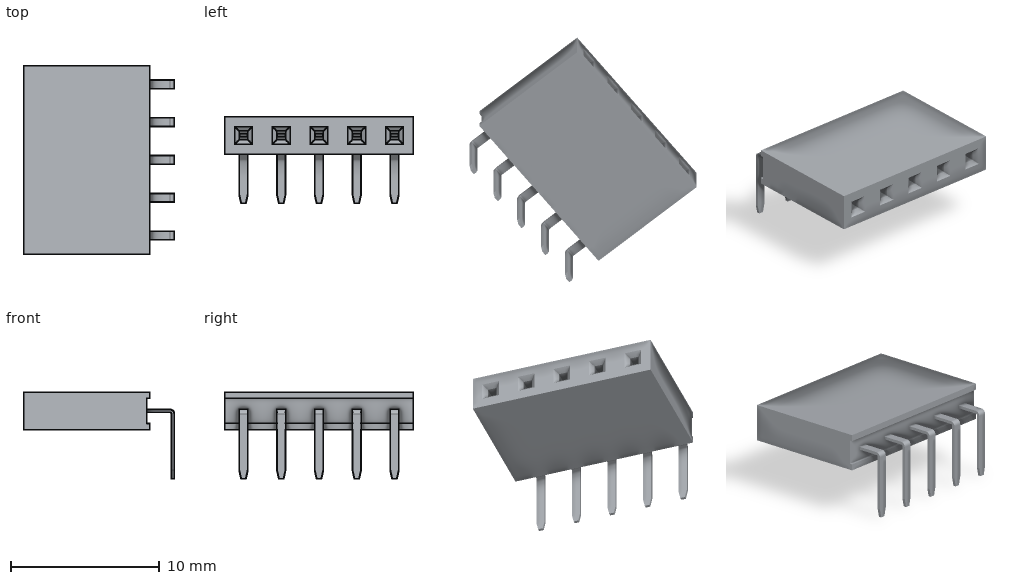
import cadquery as cq


pin_count = 5
pitch = 2.54
body_length = 8.5
body_width = pin_count * pitch
body_height = 2.54
lip_height = 0.43
groove_depth = 0.2

mouth_size = 1.2
socket_size = 0.6
lead_in_depth = (mouth_size - socket_size) / 2
socket_depth = 6.35
contact_width = 0.51
contact_length = 1.27

pin_width = 0.6
pin_thickness = 0.2
pin_reach = 1.64
pin_drop = 3.3
bend_outer_radius = 0.3
bend_inner_radius = bend_outer_radius - pin_thickness
pin_embed = 0.25
tip_width = 0.33
tip_length = 0.6

groove_x = body_length - groove_depth
pin_outer_x = body_length + pin_reach
pin_top_z = pin_thickness / 2
tip_z = -body_height / 2 - pin_drop
pin_positions = [(i - (pin_count - 1) / 2) * pitch for i in range(pin_count)]


def make_body():
    """Rectangular block with a groove along its rear face."""
    block = cq.Workplane("XY").box(
        body_length, body_width, body_height, centered=(False, True, True)
    )
    groove = (
        cq.Workplane("XY")
        .box(groove_depth, body_width, body_height - 2 * lip_height, centered=(False, True, True))
        .translate((groove_x, 0, 0))
    )
    return block.cut(groove)


def make_socket_cavity(y):
    """Pyramidal lead-in followed by a square blind hole."""
    lead_in = (
        cq.Workplane("YZ", origin=(0, y, 0))
        .rect(mouth_size, mouth_size)
        .workplane(offset=lead_in_depth)
        .rect(socket_size, socket_size)
        .loft(ruled=True)
    )
    hole = (
        cq.Workplane("YZ", origin=(0, y, 0))
        .rect(socket_size, socket_size)
        .extrude(socket_depth)
    )
    return lead_in.union(hole)


def make_contact(y):
    """Flat contact blade standing on the floor of a socket hole."""
    return (
        cq.Workplane("YZ", origin=(socket_depth, y, 0))
        .rect(contact_width, pin_thickness)
        .extrude(-contact_length)
    )


def make_pin(y):
    """Flat pin bent down at a right angle, with its tip tapered in width."""
    start_x = groove_x - pin_embed
    strip = (
        cq.Workplane("XZ", origin=(0, y, 0))
        .moveTo(start_x, pin_top_z)
        .lineTo(pin_outer_x, pin_top_z)
        .lineTo(pin_outer_x, tip_z)
        .lineTo(pin_outer_x - pin_thickness, tip_z)
        .lineTo(pin_outer_x - pin_thickness, pin_top_z - pin_thickness)
        .lineTo(start_x, pin_top_z - pin_thickness)
        .close()
        .extrude(pin_width / 2, both=True)
    )
    strip = strip.edges("|Y and >X and >Z").fillet(bend_outer_radius)
    inner_corner = cq.selectors.NearestToPointSelector(
        (pin_outer_x - pin_thickness, y, pin_top_z - pin_thickness)
    )
    strip = strip.edges("|Y").edges(inner_corner).fillet(bend_inner_radius)

    silhouette = (
        cq.Workplane("YZ", origin=(start_x, y, 0))
        .moveTo(-pin_width / 2, pin_top_z)
        .lineTo(pin_width / 2, pin_top_z)
        .lineTo(pin_width / 2, tip_z + tip_length)
        .lineTo(tip_width / 2, tip_z)
        .lineTo(-tip_width / 2, tip_z)
        .lineTo(-pin_width / 2, tip_z + tip_length)
        .close()
        .extrude(pin_outer_x - start_x)
    )
    return strip.intersect(silhouette)


result = make_body()
for pin_y in pin_positions:
    result = result.cut(make_socket_cavity(pin_y))
    result = result.union(make_contact(pin_y))
    result = result.union(make_pin(pin_y))